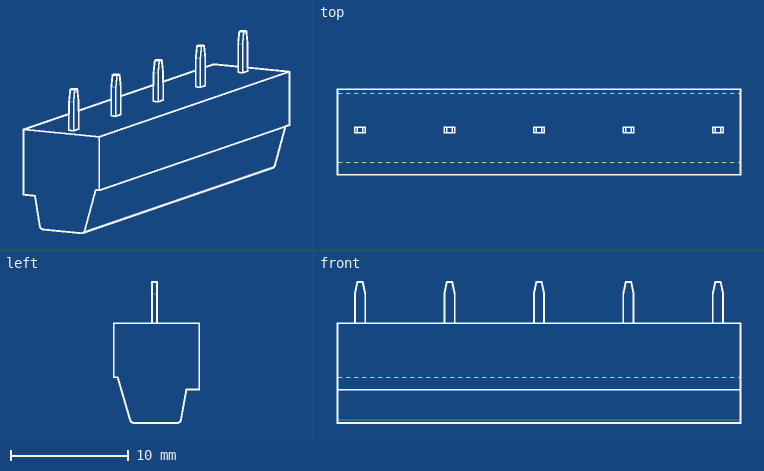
import cadquery as cq

body_length = 34.3
body_width = 7.3
total_height = 12.0
pin_height = 3.5
body_height = total_height - pin_height

front_ledge_height = 2.85
front_ledge_depth = 1.1
front_foot_inset = 1.6
back_ledge_height = 3.87
back_ledge_depth = 0.35
back_foot_inset = 1.47
foot_fillet = 0.35

pin_count = 5
pin_pitch = 7.6
pin_width = 0.9
pin_thickness = 0.45
pin_tip_width = 0.48
pin_tip_height = 1.0
pin_offset_y = 0.17


def make_housing():
    """Constant YZ section run along X, with the two foot edges rounded."""
    front = -body_width / 2
    back = body_width / 2
    section = [
        (front, body_height),
        (front, front_ledge_height),
        (front + front_ledge_depth, front_ledge_height),
        (front + front_foot_inset, 0),
        (back - back_foot_inset, 0),
        (back - back_ledge_depth, back_ledge_height),
        (back, back_ledge_height),
        (back, body_height),
    ]
    housing = cq.Workplane("YZ").polyline(section).close().extrude(body_length / 2, both=True)
    return housing.faces("<Z").edges("|X").fillet(foot_fillet)


def make_pin(x):
    """Flat pin at position x, narrowing in X towards its tip."""
    shoulder_height = total_height - pin_tip_height
    outline = [
        (x - pin_width / 2, body_height),
        (x + pin_width / 2, body_height),
        (x + pin_width / 2, shoulder_height),
        (x + pin_tip_width / 2, total_height),
        (x - pin_tip_width / 2, total_height),
        (x - pin_width / 2, shoulder_height),
    ]
    pin_plane = cq.Workplane("XZ", origin=(0, pin_offset_y, 0))
    return pin_plane.polyline(outline).close().extrude(pin_thickness / 2, both=True)


result = make_housing()
for index in range(pin_count):
    pin_x = (index - (pin_count - 1) / 2) * pin_pitch
    result = result.union(make_pin(pin_x))